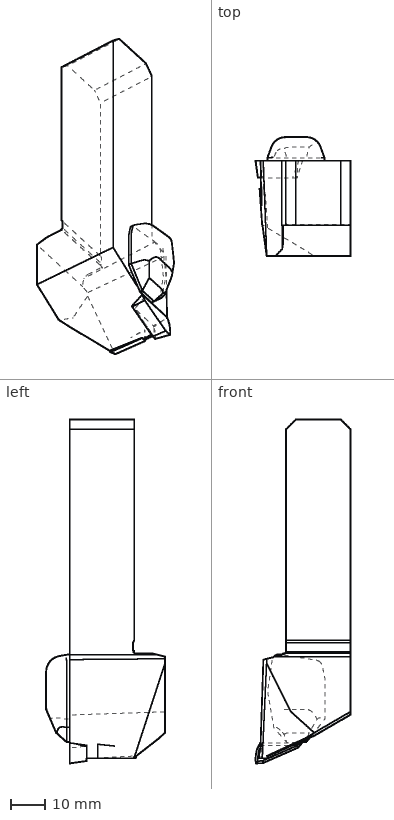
import cadquery as cq
import math


shank_size = 19.0
total_height = 101.0
shank_chamfer = 2.9
neck_depth = 0.4
neck_top = 36.2
neck_slope_end = 35.5
neck_foot = 0.5
shank_fillet = 1.2

head_depth = 28.0
head_top = 32.3
nose_height = 1.5
block_left = -28.3
top_edge_x = -25.7
top_edge_z = 30.5
low_edge_x = -26.5
low_edge_z = 6.1
side_relief = 1.0
bottom_relief = 0.9
knee_relief = 0.5
front_chamfer_depth = 3.6
front_chamfer_drop = 0.9
ledge_x = -19.8
ledge_width = 0.3
ledge_drop = 0.4
slope_x = ledge_x - ledge_width
slope_z = head_top - ledge_drop
bottom_right_z = 14.3
bottom_knee_x = -10.6
bottom_knee_z = 8.2
nose_line_slope = 0.45

facet_top = (-24.3, -head_depth, 28.8)
facet_middle = (-17.6, -head_depth, 15.3)
facet_low = (-10.4, -head_depth, 8.8)
facet_nose_upper = (-25.8, -19.6, 3.6)
facet_nose_lower = (-25.2, -20.0, 3.7)

rib_start = 8.3
rib_end = 19.6
rib_lean = 0.8
rib_drop = 1.2
rib_outline = [(-26.4, 5.7), (-26.8, 3.0), (-26.8, nose_height), (-25.2, nose_height), (-25.2, 5.7)]

insert_thickness = 4.9
insert_relief = 8.0
insert_outline = [
    (-26.6, 6.1), (-27.6, 4.1), (-27.9, 2.4), (-28.0, 1.1), (-27.8, 0.0),
    (-25.8, 0.1), (-15.5, 4.6), (-14.2, 6.1),
]

boss_height = 7.0
boss_draft = 20.0
boss_foot = 0.9
boss_outer_round = 4.5
boss_corner_round = 2.2
boss_blank_z = 33.8
boss_outline = [
    (-9.5, boss_blank_z), (-22.6, boss_blank_z), (-24.4, 21.2), (-22.6, 10.6), (-18.2, 5.6), (-13.6, 5.6),
    (-7.7, 13.1), (-7.7, 25.2),
]
boss_top_z = 32.4
boss_top_left = -22.8
boss_top_slope = 9.0
boss_top_fall = 0.9
boss_outer_low_z = 16.0
boss_bottom_z = 6.3
boss_knee_y = 4.0
boss_knee_z = 9.1
boss_left_zone = -20.2
boss_right_zone = -12.1
boss_shoulder_z = 28.3
face_margin = 0.1


def prism(outline, near_y, depth):
    """Extrude an (x, z) outline from near_y toward -Y."""
    return cq.Workplane("XZ", origin=(0, near_y, 0)).polyline(outline).close().extrude(depth)


def slice_off(body, first, second, third, inside):
    """Remove what lies beyond the plane through three points, keeping the side that holds inside."""
    origin = cq.Vector(*first)
    normal = (cq.Vector(*second) - origin).cross(cq.Vector(*third) - origin)
    if normal.dot(cq.Vector(*inside) - origin) > 0:
        normal = -normal
    reach = 3 * total_height
    beyond = cq.Workplane(cq.Plane(origin=origin, normal=normal)).rect(reach, reach).extrude(reach)
    return body.cut(beyond)


def make_shank():
    shank = (
        cq.Workplane("XY", origin=(-shank_size / 2, -shank_size / 2, slope_z))
        .rect(shank_size, shank_size).extrude(total_height - slope_z)
        .edges(">Z and |Y").chamfer(shank_chamfer)
    )
    neck_y = -shank_size + neck_depth
    outside_y = -shank_size - neck_foot
    neck_cut = (
        cq.Workplane("YZ")
        .polyline([
            (-shank_size, neck_top), (neck_y, neck_slope_end), (neck_y, head_top + neck_foot),
            (neck_y - neck_foot, head_top), (outside_y, head_top), (outside_y, neck_top),
        ])
        .close().extrude(-shank_size)
    )
    return shank.cut(neck_cut)


def make_shank_fillet():
    outer_x = -shank_size - shank_fillet
    top_z = slope_z + shank_fillet
    middle = shank_fillet * math.sqrt(0.5)
    return (
        cq.Workplane("XZ")
        .moveTo(-shank_size, top_z)
        .threePointArc((outer_x + middle, top_z - middle), (outer_x, slope_z))
        .lineTo(outer_x, slope_z - shank_fillet)
        .lineTo(-shank_size, slope_z - shank_fillet)
        .close().extrude(shank_size)
    )


def make_nose_rib():
    return (
        cq.Workplane("XZ", origin=(0, -rib_start, 0)).polyline(rib_outline).close()
        .workplane(offset=rib_end - rib_start)
        .polyline([(x + rib_lean, max(z - rib_drop, nose_height)) for x, z in rib_outline]).close()
        .loft(ruled=True)
    )


def make_head():
    core = (-shank_size / 2, -shank_size / 2, (head_top + bottom_knee_z) / 2)
    head = prism(
        [(0, nose_height), (block_left, nose_height), (block_left, head_top), (0, head_top)], 0, head_depth
    )
    head = slice_off(
        head,
        (top_edge_x, 0, top_edge_z),
        (low_edge_x, 0, low_edge_z),
        (top_edge_x + side_relief, -head_depth, top_edge_z),
        core,
    )
    knee = (bottom_knee_x, 0, bottom_knee_z)
    knee_front = (bottom_knee_x, -head_depth, bottom_knee_z + knee_relief)
    nose_z = bottom_knee_z - (bottom_knee_x - low_edge_x) * nose_line_slope
    right_back = (0, 0, bottom_right_z)
    right_front = (0, -head_depth, bottom_right_z + bottom_relief)
    head = slice_off(head, knee, right_back, right_front, core)
    head = slice_off(head, knee, knee_front, (low_edge_x, 0, nose_z), core)
    chamfer_y = -head_depth + front_chamfer_depth
    head = slice_off(
        head, (0, chamfer_y, head_top), (-1, chamfer_y, head_top),
        (0, -head_depth, head_top - front_chamfer_drop), core,
    )
    slope = (slope_z - top_edge_z) / (slope_x - top_edge_x)
    block_z = slope_z + slope * (block_left - slope_x)
    slope_cut = [(ledge_x, head_top), (slope_x, slope_z), (block_left, block_z), (block_left, head_top)]
    head = head.cut(prism(slope_cut, 0, head_depth))
    fillet_clearance = [
        (-shank_size, head_top), (-shank_size, slope_z), (slope_x, slope_z), (slope_x, head_top),
    ]
    head = head.cut(prism(fillet_clearance, 0, shank_size))
    head = head.union(make_nose_rib())
    head = slice_off(head, facet_top, facet_middle, facet_nose_upper, core)
    return slice_off(head, facet_middle, facet_low, facet_nose_lower, core)


def edges_inside(body, low, high):
    """Edges of the body whose centres lie in the box between two corners."""
    return body.edges(cq.selectors.BoxSelector(low, high))


def make_boss():
    foot = prism(boss_outline, boss_foot, boss_foot)
    drafted = (
        foot.faces(">Y").wires().toPending().workplane(origin=(0, boss_foot, 0))
        .extrude(boss_height - boss_foot, taper=boss_draft)
    )
    profile = (
        cq.Workplane("YZ")
        .polyline([
            (0, boss_blank_z), (boss_height, boss_blank_z), (boss_height, boss_outer_low_z),
            (boss_knee_y, boss_knee_z), (boss_foot, boss_bottom_z), (0, boss_bottom_z),
        ])
        .close().extrude(block_left)
    )
    boss = slice_off(
        drafted.intersect(profile),
        (boss_top_left, 0, boss_top_z),
        (boss_top_left, boss_height, boss_top_z - boss_top_fall),
        (0, 0, boss_top_z + boss_top_left * math.tan(math.radians(boss_top_slope))),
        (boss_top_left, 0, boss_bottom_z),
    )
    near_face = boss_height - face_margin
    past_face = boss_height + face_margin
    slope_middle_y = (boss_knee_y + boss_height) / 2
    left_low = edges_inside(
        boss, (block_left, slope_middle_y, boss_knee_z), (boss_left_zone, near_face, boss_outer_low_z)
    )
    left_high = edges_inside(
        boss, (block_left, near_face, boss_outer_low_z), (boss_left_zone, past_face, boss_shoulder_z)
    )
    top = edges_inside(
        boss, (boss_left_zone, near_face, boss_shoulder_z), (boss_right_zone, past_face, boss_top_z)
    )
    right = edges_inside(
        boss, (boss_right_zone, near_face, boss_outer_low_z), (0, past_face, boss_shoulder_z)
    )
    boss = left_low.add(left_high).add(top).add(right).fillet(boss_outer_round)
    left_corner = edges_inside(
        boss, (block_left, 0, boss_shoulder_z), (boss_left_zone, near_face, boss_blank_z)
    )
    right_corner = edges_inside(
        boss, (boss_right_zone, 0, boss_shoulder_z), (0, near_face, boss_blank_z)
    )
    return left_corner.add(right_corner).fillet(boss_corner_round)


def make_insert():
    return (
        cq.Workplane("XZ").polyline(insert_outline).close()
        .extrude(insert_thickness, taper=insert_relief)
    )


insert = make_insert()
holder = make_head().union(make_shank()).union(make_shank_fillet()).union(make_boss()).cut(insert)

result = cq.Compound.makeCompound([holder.val(), insert.val()])